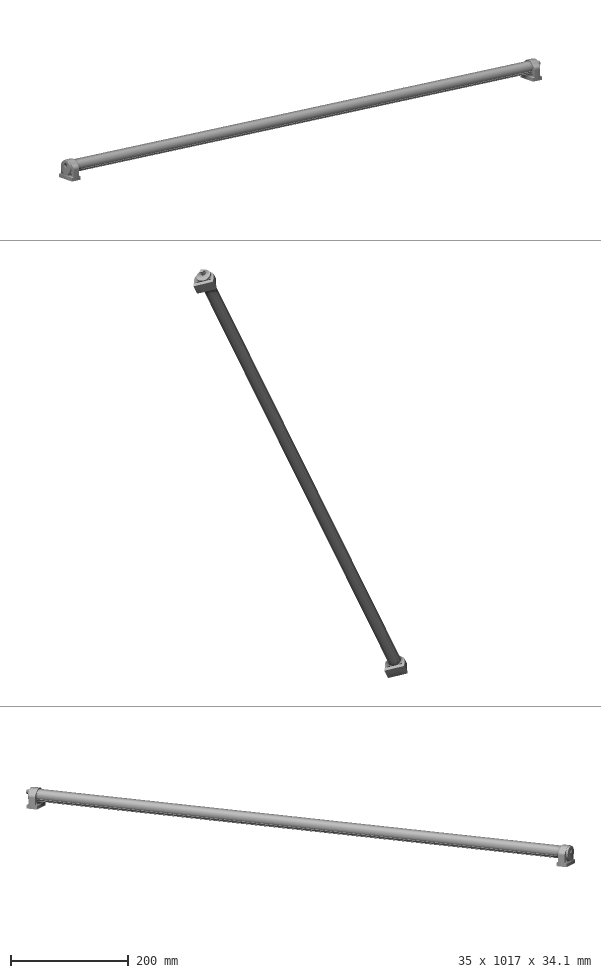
import cadquery as cq
import math

total_length = 1017.02
total_height = 34.07
connector_length = 8.02
brackets_span = total_length - connector_length
front_end_y = -total_length / 2
rear_end_y = front_end_y + brackets_span

bracket_width = 35.0
half_width = bracket_width / 2
foot_length = 19.0
foot_height = 6.2
foot_overhang = 3.5
foot_blend_radius = 1.5
neck_length = foot_length - 2 * foot_overhang

arch_radius = 13.25
axis_z = total_height - arch_radius
shoulder_radius = 6.8
shoulder_x = half_width - shoulder_radius
shoulder_z = 20.0
head_blend_radius = 15.0

boss_radius = 12.5
end_wall = 5.0
mounting_hole_diameter = 5.0
mounting_hole_x = 10.7
mounting_hole_z = 9.4

tube_radius = 11.0
groove_width = 3.0
groove_depth = 1.0
groove_angles_below_horizontal = (20.0, 53.0)

socket_diameter = 8.0
socket_z = 24.7
connector_tip_diameter = 7.0
connector_tip_length = 4.0


def rod_along_y(radius, start_y, length, x, z):
    """A round rod running in +Y from start_y."""
    return cq.Workplane("XZ", origin=(x, start_y, z)).circle(radius).extrude(-length)


def point_towards(start, target, distance):
    """The (x, z) point at a distance from start on the line to target."""
    angle = math.atan2(target[1] - start[1], target[0] - start[0])
    return (start[0] + distance * math.cos(angle), start[1] + distance * math.sin(angle))


def head_blend_center():
    """Center of the hollow blend that touches both the arch and the +X shoulder from outside."""
    to_arch = arch_radius + head_blend_radius
    to_shoulder = shoulder_radius + head_blend_radius
    spacing = math.hypot(shoulder_x, shoulder_z - axis_z)
    corner = math.acos((to_arch**2 + spacing**2 - to_shoulder**2) / (2 * to_arch * spacing))
    angle = math.atan2(shoulder_z - axis_z, shoulder_x) + corner
    return (to_arch * math.cos(angle), axis_z + to_arch * math.sin(angle))


def make_tube():
    start_y = front_end_y + end_wall
    length = brackets_span - 2 * end_wall
    tube = rod_along_y(tube_radius, start_y, length, 0, axis_z)
    groove = (
        cq.Workplane("XY")
        .box(2 * groove_depth, length, groove_width)
        .translate((tube_radius, start_y + length / 2, 0))
    )
    for below in groove_angles_below_horizontal:
        for angle in (below, 180 - below):
            placed = groove.rotate((0, 0, 0), (0, 1, 0), angle).translate((0, 0, axis_z))
            tube = tube.cut(placed)
    return tube


def make_neck():
    """The upright of the bracket, with its rounded head drawn from tangent arcs."""
    arch_center = (0, axis_z)
    shoulder_center = (shoulder_x, shoulder_z)
    blend_center = head_blend_center()
    arch_end = point_towards(arch_center, blend_center, arch_radius)
    shoulder_start = point_towards(shoulder_center, blend_center, shoulder_radius)
    blend_chord_middle = (
        (arch_end[0] + shoulder_start[0]) / 2,
        (arch_end[1] + shoulder_start[1]) / 2,
    )
    blend_middle = point_towards(blend_center, blend_chord_middle, head_blend_radius)
    shoulder_chord_middle = (
        (shoulder_start[0] + half_width) / 2,
        (shoulder_start[1] + shoulder_z) / 2,
    )
    shoulder_middle = point_towards(shoulder_center, shoulder_chord_middle, shoulder_radius)

    def mirrored(point):
        return (-point[0], point[1])

    return (
        cq.Workplane("XZ", origin=(0, foot_overhang, 0))
        .moveTo(-half_width, 0)
        .lineTo(half_width, 0)
        .lineTo(half_width, shoulder_z)
        .threePointArc(shoulder_middle, shoulder_start)
        .threePointArc(blend_middle, arch_end)
        .threePointArc((0, total_height), mirrored(arch_end))
        .threePointArc(mirrored(blend_middle), mirrored(shoulder_start))
        .threePointArc(mirrored(shoulder_middle), (-half_width, shoulder_z))
        .close()
        .extrude(-neck_length)
    )


def make_bracket():
    """A bracket with its outer face on Y = 0, reaching inward in +Y to the open tube seat."""
    foot = cq.Workplane("XY").box(
        bracket_width, foot_length, foot_height, centered=(True, False, False)
    )
    foot_junction = cq.selectors.BoxSelector(
        (-half_width, foot_overhang / 2, foot_height / 2),
        (half_width, foot_length - foot_overhang / 2, foot_height * 3 / 2),
    )
    bracket = make_neck().union(foot).edges("|X").edges(foot_junction).fillet(foot_blend_radius)
    bracket = bracket.union(rod_along_y(boss_radius, 0, foot_overhang, 0, axis_z))
    bracket = bracket.cut(rod_along_y(socket_diameter / 2, 0, end_wall, 0, socket_z))
    bracket = bracket.cut(rod_along_y(tube_radius, end_wall, foot_length, 0, axis_z))
    for x in (-mounting_hole_x, mounting_hole_x):
        hole = rod_along_y(mounting_hole_diameter / 2, 0, foot_length, x, mounting_hole_z)
        bracket = bracket.cut(hole)
    return bracket


def make_connector():
    seated_length = end_wall + connector_length - connector_tip_length
    shank = rod_along_y(socket_diameter / 2, rear_end_y - end_wall, seated_length, 0, socket_z)
    tip = rod_along_y(connector_tip_diameter / 2, rear_end_y, connector_length, 0, socket_z)
    return shank.union(tip)


tube = make_tube()
bracket_at_origin = make_bracket()
brackets = []
for outer_y, turn in ((front_end_y, 0), (rear_end_y, 180)):
    placed_bracket = bracket_at_origin.rotate((0, 0, 0), (0, 0, 1), turn)
    brackets.append(placed_bracket.translate((0, outer_y, 0)))
connector = make_connector()

result = cq.Compound.makeCompound(
    [tube.val(), *[bracket.val() for bracket in brackets], connector.val()]
)